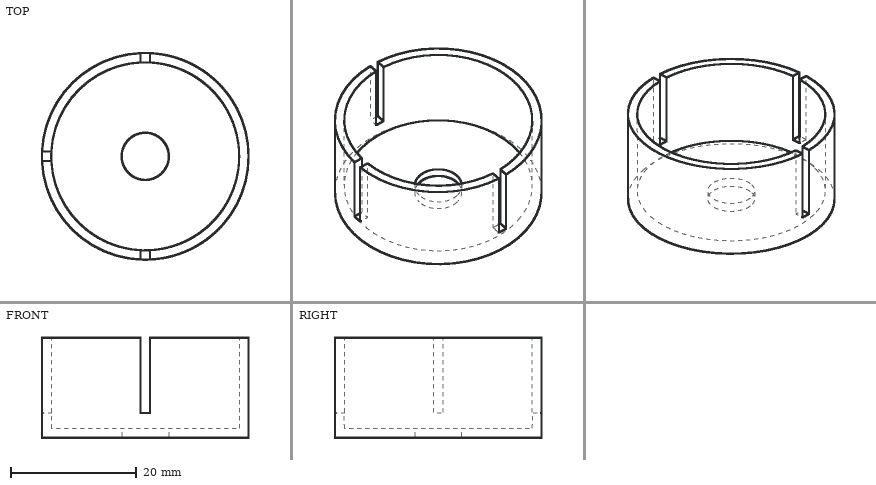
import cadquery as cq

outer_diameter = 33.0
wall_thickness = 1.5
floor_thickness = 1.5
height = 16.0
hole_diameter = 7.5
slot_width = 1.5
slot_depth = 12.0

slot_angles = (90, 180, 270)

outer_radius = outer_diameter / 2
inner_diameter = outer_diameter - 2 * wall_thickness


def make_cup():
    """Round cup standing on Z = 0, with a hole through the middle of its floor."""
    body = cq.Workplane("XY").circle(outer_radius).extrude(height)
    cavity = (
        cq.Workplane("XY")
        .workplane(offset=floor_thickness)
        .circle(inner_diameter / 2)
        .extrude(height - floor_thickness)
    )
    hole = cq.Workplane("XY").circle(hole_diameter / 2).extrude(floor_thickness)
    return body.cut(cavity).cut(hole)


def make_slot_cutter(angle):
    """Block from the axis out past the rim, open at the top, turned to one slot direction."""
    return (
        cq.Workplane("XY")
        .workplane(offset=height - slot_depth)
        .center(outer_radius, 0)
        .rect(outer_diameter, slot_width)
        .extrude(slot_depth)
        .rotate((0, 0, 0), (0, 0, 1), angle)
    )


result = make_cup()
for slot_angle in slot_angles:
    result = result.cut(make_slot_cutter(slot_angle))